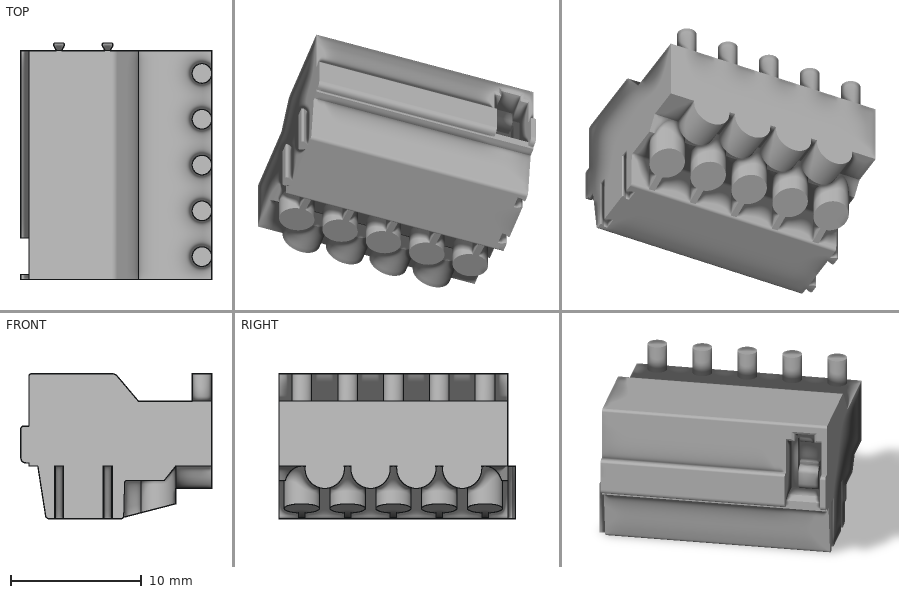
import cadquery as cq
import math

body_length = 17.5
pitch = 3.5
pole_count = 5
first_pole_y = pitch / 2

total_depth = 14.6
total_height = 11.1
wall_x = 0.62
shelf_z = 9.0
slope_top_x = 7.22
slope_bottom_x = 9.0
underside_z = 4.03
crest_fillet = 0.5
edge_fillet = 0.2

rail_bottom_z = 4.27
rail_top_z = 7.09
rail_top_fillet = 0.2
rail_bottom_fillet = 0.4

plug_top_x = 1.3
plug_bottom_x = 1.93
plug_rear_top_x = 7.94
plug_rear_bottom_x = 7.86
plug_fillet = 0.3
plug_rear_fillet = 0.22
step_z = 2.94
step_end_x = 10.97
step_fillet = 0.2
barrel_start_x = 11.85

pin_diameter = 1.5
root_overlap = 1.0
sleeve_diameter = 2.7
web_width = 0.5
web_start_x = 7.5
bevel_end_z = 1.15
bevel_angle = 14.5
barrel_diameter = 3.0
barrel_axis_z = 3.83

dovetail_centers_x = (2.93, 6.64)
tongue_height = 0.58
tongue_neck = 0.42
tongue_width = 0.82
tongue_straight = 0.2
tongue_chamfer = 0.06
groove_depth = 0.65
groove_throat = 0.57
groove_width = 0.98
groove_straight = 0.27
groove_lip = 0.07

pocket_y_min, pocket_y_max = 0.40, 3.16
pocket_back_x = 2.8
pocket_floor_z = 4.9
pocket_ceiling_z = 9.63
pocket_flare = 0.2
pocket_flare_depth = 0.14
floor_ramp_run = 0.76
notch_y_min, notch_y_max = 1.0, 2.55
notch_top_z = 10.25
window_y_min, window_y_max = 0.86, 2.67
window_z_min, window_z_max = 6.36, 9.07
window_depth = 0.6
window_fillet = 0.15
upper_bump_x = 2.45
upper_bump_y_min, upper_bump_y_max = 1.07, 2.47
upper_bump_z_min, upper_bump_z_max = 8.7, 10.07
upper_bump_radius = 0.58
lower_bump_x = 2.36
lower_bump_y_min, lower_bump_y_max = 1.02, 2.53
lower_bump_z_min, lower_bump_z_max = 4.9, 6.79
lower_bump_radius = 0.49
lip_top_z = 7.08
lip_lean = 0.06
lip_fillet = 0.04


def bevel_z(x):
    """Height of the sloped underside of the sleeves at x."""
    return bevel_end_z - (barrel_start_x - x) * math.tan(math.radians(bevel_angle))


def box(x0, x1, y0, y1, z0, z1):
    return cq.Workplane("XY").box(x1 - x0, y1 - y0, z1 - z0, centered=False).translate((x0, y0, z0))


def extrude_y(points, y0, y1):
    """Extrude an XZ outline from y0 to y1."""
    return cq.Workplane("XZ", origin=(0, y0, 0)).polyline(points).close().extrude(-(y1 - y0))


def fillet_along_y(solid, x, z, radius):
    """Round the Y-direction edge that passes through (x, z)."""
    reach = 0.02
    selector = cq.selectors.BoxSelector(
        (x - reach, -body_length, z - reach), (x + reach, 2 * body_length, z + reach)
    )
    return solid.edges("|Y").edges(selector).fillet(radius)


def make_block():
    block = extrude_y(
        [
            (wall_x, underside_z),
            (plug_top_x, underside_z),
            (plug_bottom_x, 0),
            (plug_rear_bottom_x, 0),
            (plug_rear_top_x, step_z),
            (step_end_x, step_z),
            (barrel_start_x, underside_z),
            (total_depth, underside_z),
            (total_depth, shelf_z),
            (slope_bottom_x, shelf_z),
            (slope_top_x, total_height),
            (wall_x, total_height),
            (wall_x, rail_top_z),
            (0, rail_top_z),
            (0, rail_bottom_z),
            (wall_x, rail_bottom_z),
        ],
        0,
        body_length,
    )
    roundings = [
        (0, rail_top_z, rail_top_fillet),
        (0, rail_bottom_z, rail_bottom_fillet),
        (wall_x, total_height, edge_fillet),
        (slope_top_x, total_height, crest_fillet),
        (plug_bottom_x, 0, plug_fillet),
        (plug_rear_bottom_x, 0, plug_rear_fillet),
        (plug_rear_top_x, step_z, step_fillet),
    ]
    for x, z, radius in roundings:
        block = fillet_along_y(block, x, z, radius)
    return block


def make_pole(y):
    """Solder pin on the shelf and the sleeve with its web below the block."""
    pin_radius = pin_diameter / 2
    pin = (
        cq.Workplane("XY", origin=(total_depth - pin_radius, y, shelf_z - root_overlap))
        .circle(pin_radius)
        .extrude(total_height - shelf_z + root_overlap)
    )

    sleeve_radius = sleeve_diameter / 2
    sleeve_x = barrel_start_x - sleeve_radius
    column = cq.Workplane("XY").center(sleeve_x, y).circle(sleeve_radius).extrude(underside_z + root_overlap)
    column = column.union(
        box(web_start_x, sleeve_x, y - web_width / 2, y + web_width / 2, 0, underside_z)
    )
    below_bevel = extrude_y(
        [
            (web_start_x, bevel_z(web_start_x)),
            (total_depth, bevel_z(total_depth)),
            (total_depth, 0),
            (web_start_x, 0),
        ],
        y - sleeve_radius,
        y + sleeve_radius,
    )
    return pin.union(column.cut(below_bevel))


def make_barrel(y):
    """Half-round barrel along X under the rear of the block."""
    barrel_radius = barrel_diameter / 2
    return (
        cq.Workplane("YZ", origin=(barrel_start_x, 0, 0))
        .moveTo(y - barrel_radius, underside_z)
        .lineTo(y - barrel_radius, barrel_axis_z)
        .threePointArc((y, barrel_axis_z - barrel_radius), (y + barrel_radius, barrel_axis_z))
        .lineTo(y + barrel_radius, underside_z)
        .close()
        .extrude(total_depth - barrel_start_x)
    )


def mirrored_prism(center_x, half_outline):
    """Vertical prism, symmetric about center_x, from (half width, y) points, up to the underside."""
    right = [(center_x + half, y) for half, y in half_outline]
    left = [(center_x - half, y) for half, y in reversed(half_outline)]
    return cq.Workplane("XY").polyline(right + left).close().extrude(underside_z)


def make_tongue(center_x):
    tip_y = body_length + tongue_height
    return mirrored_prism(
        center_x,
        [
            (tongue_neck / 2, body_length),
            (tongue_width / 2, tip_y - tongue_straight),
            (tongue_width / 2, tip_y - tongue_chamfer),
            (tongue_width / 2 - tongue_chamfer, tip_y),
        ],
    )


def make_groove(center_x):
    return mirrored_prism(
        center_x,
        [
            (groove_throat / 2 + groove_lip, 0),
            (groove_throat / 2, groove_lip),
            (groove_width / 2, groove_depth - groove_straight),
            (groove_width / 2, groove_depth),
        ],
    )


def make_latch_pocket():
    mouth_floor_z = pocket_floor_z - pocket_flare
    mouth_ceiling_z = pocket_ceiling_z + pocket_flare
    ramp_end_x = wall_x + floor_ramp_run
    pocket = extrude_y(
        [
            (0, mouth_floor_z),
            (wall_x, mouth_floor_z),
            (ramp_end_x, pocket_floor_z),
            (pocket_back_x, pocket_floor_z),
            (pocket_back_x, pocket_ceiling_z),
            (wall_x + pocket_flare_depth, pocket_ceiling_z),
            (wall_x, mouth_ceiling_z),
            (0, mouth_ceiling_z),
        ],
        pocket_y_min,
        pocket_y_max,
    )
    rail_gap = box(0, wall_x, pocket_y_min, pocket_y_max, underside_z, mouth_ceiling_z)

    notch = box(wall_x, pocket_back_x, notch_y_min, notch_y_max, pocket_floor_z, notch_top_z)
    notch_center_y = (notch_y_min + notch_y_max) / 2
    notch_center_z = (pocket_ceiling_z + notch_top_z) / 2
    notch_width = notch_y_max - notch_y_min
    notch_height = notch_top_z - pocket_ceiling_z
    flare = (
        cq.Workplane("YZ", origin=(wall_x, notch_center_y, notch_center_z))
        .rect(notch_width + 2 * pocket_flare, notch_height + 2 * pocket_flare)
        .workplane(offset=pocket_flare_depth)
        .rect(notch_width, notch_height)
        .loft(ruled=True)
    )

    window = box(
        pocket_back_x,
        pocket_back_x + window_depth,
        window_y_min,
        window_y_max,
        window_z_min,
        window_z_max,
    ).edges("|X").fillet(window_fillet)
    return pocket.union(rail_gap).union(notch).union(flare).union(window)


def make_latch_bumps():
    """Two rounded latch bumps standing out of the back of the pocket."""
    root_x = pocket_back_x + window_depth
    upper = box(
        upper_bump_x, root_x, upper_bump_y_min, upper_bump_y_max, upper_bump_z_min, upper_bump_z_max
    )
    upper = fillet_along_y(upper, upper_bump_x, upper_bump_z_min, upper_bump_radius)

    lower = box(
        lower_bump_x, root_x, lower_bump_y_min, lower_bump_y_max, lower_bump_z_min, lower_bump_z_max
    )
    for z in (lower_bump_z_min, lower_bump_z_max):
        lower = fillet_along_y(lower, lower_bump_x, z, lower_bump_radius)
    lip_foot_x = lower_bump_x + lower_bump_radius + lip_fillet
    lip = extrude_y(
        [
            (lip_foot_x, lower_bump_z_max),
            (lip_foot_x - lip_lean, lip_top_z),
            (root_x, lip_top_z),
            (root_x, lower_bump_z_max),
        ],
        lower_bump_y_min,
        lower_bump_y_max,
    )
    lower = fillet_along_y(lower.union(lip), lip_foot_x, lower_bump_z_max, lip_fillet)
    return upper.union(lower)


result = make_block()
for pole in range(pole_count):
    result = result.union(make_pole(first_pole_y + pole * pitch))
for gap in range(pole_count - 1):
    result = result.union(make_barrel(first_pole_y + (gap + 0.5) * pitch))
for dovetail_x in dovetail_centers_x:
    result = result.union(make_tongue(dovetail_x)).cut(make_groove(dovetail_x))
result = result.cut(make_latch_pocket()).union(make_latch_bumps())